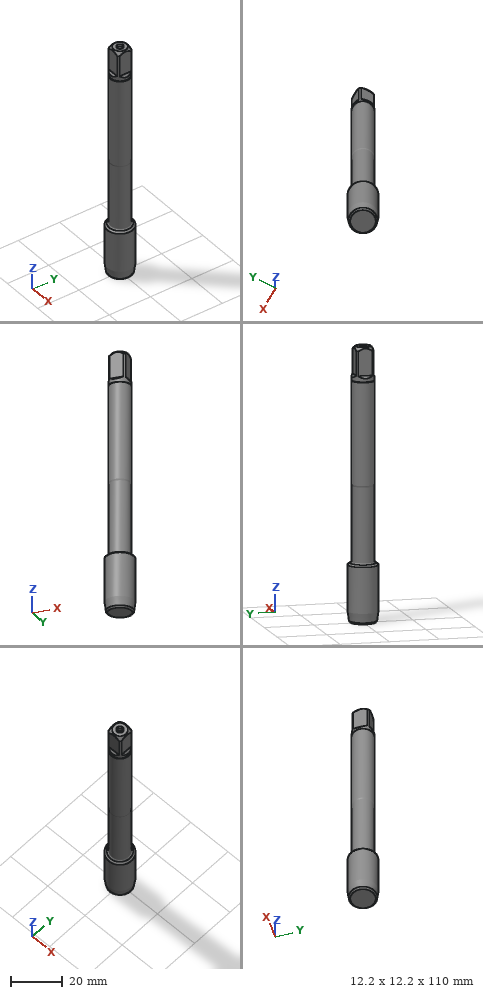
import cadquery as cq
import math

TOTAL_LENGTH = 110.0

HEAD_DIAMETER = 12.2
HEAD_TOP_Z = 23.0
LEAD_TOP_Z = 4.5
LEAD_LOW_DIAMETER = 11.2
TIP_CHAMFER_HEIGHT = 0.8
TIP_DIAMETER = 9.9

SHOULDER_CHAMFER_HEIGHT = 0.8
SHOULDER_DIAMETER = 10.3

NECK_DIAMETER = 9.0
SHANK_DIAMETER = 9.4
SHANK_LOW_Z = 54.5
SHANK_TOP_Z = 96.5
SHANK_CHAMFER_HEIGHT = 0.7
SHANK_TOP_CHAMFER_HEIGHT = 0.2

DRIVE_DIAMETER = 9.0
DRIVE_WIDTH = 7.0
DRIVE_LOW_Z = 98.8
DRIVE_TOP_DIAMETER = 6.2

CENTRE_MOUTH_DIAMETER = 3.1
CENTRE_DIAMETER = 2.0
CENTRE_DEPTH = 2.2
DRILL_POINT_ANGLE = 120.0

neck_radius = NECK_DIAMETER / 2
shank_radius = SHANK_DIAMETER / 2
drive_radius = DRIVE_DIAMETER / 2
shoulder_radius = SHOULDER_DIAMETER / 2
head_radius = HEAD_DIAMETER / 2


def make_head():
    """Threaded length with its tapered lead and chamfered tip."""
    return (
        cq.Workplane("XZ")
        .moveTo(0, 0)
        .lineTo(TIP_DIAMETER / 2, 0)
        .lineTo(LEAD_LOW_DIAMETER / 2, TIP_CHAMFER_HEIGHT)
        .lineTo(head_radius, LEAD_TOP_Z)
        .lineTo(head_radius, HEAD_TOP_Z)
        .lineTo(0, HEAD_TOP_Z)
        .close()
        .revolve(360, (0, 0, 0), (0, 1, 0))
    )


def make_turned_shaft():
    """Shoulder, neck, shank and round drive blank, turned from one profile."""
    fillet_low_z = HEAD_TOP_Z + SHOULDER_CHAMFER_HEIGHT
    fillet_radius = shoulder_radius - neck_radius
    arc_inset = fillet_radius * (1 - math.sqrt(0.5))
    top_radius = DRIVE_TOP_DIAMETER / 2
    top_chamfer_height = drive_radius - top_radius
    return (
        cq.Workplane("XZ")
        .moveTo(0, HEAD_TOP_Z)
        .lineTo(head_radius, HEAD_TOP_Z)
        .lineTo(shoulder_radius, fillet_low_z)
        .threePointArc(
            (neck_radius + arc_inset, fillet_low_z + arc_inset),
            (neck_radius, fillet_low_z + fillet_radius),
        )
        .lineTo(neck_radius, SHANK_LOW_Z)
        .lineTo(shank_radius, SHANK_LOW_Z + SHANK_CHAMFER_HEIGHT)
        .lineTo(shank_radius, SHANK_TOP_Z - SHANK_TOP_CHAMFER_HEIGHT)
        .lineTo(drive_radius, SHANK_TOP_Z)
        .lineTo(drive_radius, TOTAL_LENGTH - top_chamfer_height)
        .lineTo(top_radius, TOTAL_LENGTH)
        .lineTo(0, TOTAL_LENGTH)
        .close()
        .revolve(360, (0, 0, 0), (0, 1, 0))
    )


def make_flat_cutter():
    """Cutter for the +X drive flat, running out at 45 degrees at its lower end."""
    flat_x = DRIVE_WIDTH / 2
    outer_x = SHANK_DIAMETER
    return (
        cq.Workplane("XZ")
        .moveTo(flat_x, TOTAL_LENGTH)
        .lineTo(flat_x, DRIVE_LOW_Z)
        .lineTo(outer_x, DRIVE_LOW_Z - (outer_x - flat_x))
        .lineTo(outer_x, TOTAL_LENGTH)
        .close()
        .extrude(SHANK_DIAMETER / 2, both=True)
    )


def make_centre_cutter():
    """Countersunk centre hole with a conical drill point."""
    hole_radius = CENTRE_DIAMETER / 2
    mouth_radius = CENTRE_MOUTH_DIAMETER / 2
    hole_low_z = TOTAL_LENGTH - CENTRE_DEPTH
    point_height = hole_radius / math.tan(math.radians(DRILL_POINT_ANGLE / 2))
    return (
        cq.Workplane("XZ")
        .moveTo(0, TOTAL_LENGTH)
        .lineTo(mouth_radius, TOTAL_LENGTH)
        .lineTo(hole_radius, TOTAL_LENGTH - (mouth_radius - hole_radius))
        .lineTo(hole_radius, hole_low_z)
        .lineTo(0, hole_low_z - point_height)
        .close()
        .revolve(360, (0, 0, 0), (0, 1, 0))
    )


def make_shaft():
    """Turned shaft with the square drive and centre hole cut into it."""
    body = make_turned_shaft()
    flat_cutter = make_flat_cutter()
    for angle in (0, 90, 180, 270):
        body = body.cut(flat_cutter.rotate((0, 0, 0), (0, 0, 1), angle))
    return body.cut(make_centre_cutter())


head = make_head()
shaft = make_shaft()

result = cq.Compound.makeCompound([head.val(), shaft.val()])